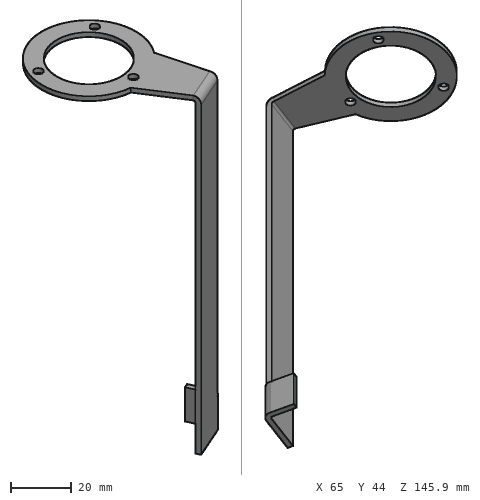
import cadquery as cq
import math

thickness = 2.0
inner_bend_radius = 0.9
outer_bend_radius = thickness + inner_bend_radius

height = 145.9
length = 65.0

ring_radius = 22.0
bore_diameter = 30.0
hole_diameter = 3.5
hole_circle_radius = 18.4
hole_count = 3
first_hole_angle = -15.0

strip_width = 15.2
arm_root_width = 21.7
tab_length = 12.0
tab_height = 14.0

back_x = length - ring_radius
bend_start_x = back_x - outer_bend_radius
strip_edge_y = strip_width / 2
plate_bottom_z = height - thickness


def make_bend(plane, depth):
    """Quarter-round bend centred on the plane origin, in its +X +Y quadrant."""
    diagonal = math.sqrt(0.5)
    return (
        cq.Workplane(plane)
        .moveTo(inner_bend_radius, 0)
        .lineTo(outer_bend_radius, 0)
        .threePointArc(
            (outer_bend_radius * diagonal, outer_bend_radius * diagonal),
            (0, outer_bend_radius),
        )
        .lineTo(0, inner_bend_radius)
        .threePointArc(
            (inner_bend_radius * diagonal, inner_bend_radius * diagonal),
            (inner_bend_radius, 0),
        )
        .close()
        .extrude(depth)
    )


def make_plate():
    """Flat ring with a tapered arm reaching to the top bend."""
    root_y = arm_root_width / 2
    root_x = math.sqrt(ring_radius**2 - root_y**2)
    base = cq.Workplane("XY").workplane(offset=plate_bottom_z)
    outline = (
        base.moveTo(root_x, root_y)
        .threePointArc((-ring_radius, 0), (root_x, -root_y))
        .lineTo(bend_start_x, -strip_edge_y)
        .lineTo(bend_start_x, strip_edge_y)
        .close()
        .extrude(thickness)
    )
    bore = base.circle(bore_diameter / 2).extrude(thickness)
    holes = (
        base.polarArray(hole_circle_radius, first_hole_angle, 360, hole_count)
        .circle(hole_diameter / 2)
        .extrude(thickness)
    )
    return outline.cut(bore).cut(holes)


def make_strip():
    """Vertical strip hanging from the top bend."""
    strip_height = height - outer_bend_radius
    return cq.Workplane("XY").box(
        thickness, strip_width, strip_height, centered=(False, True, False)
    ).translate((back_x - thickness, 0, 0))


def make_tab():
    """Flat tab at the foot of the strip, parallel to the XZ plane."""
    flat_length = tab_length - outer_bend_radius
    return cq.Workplane("XY").box(
        flat_length, thickness, tab_height, centered=False
    ).translate((back_x - tab_length, strip_edge_y + inner_bend_radius, 0))


top_bend_plane = cq.Plane(
    origin=(bend_start_x, strip_edge_y, height - outer_bend_radius),
    xDir=(1, 0, 0),
    normal=(0, -1, 0),
)
tab_bend_plane = cq.Plane(
    origin=(bend_start_x, strip_edge_y, 0),
    xDir=(1, 0, 0),
    normal=(0, 0, 1),
)

result = (
    make_plate()
    .union(make_bend(top_bend_plane, strip_width))
    .union(make_strip())
    .union(make_bend(tab_bend_plane, tab_height))
    .union(make_tab())
)